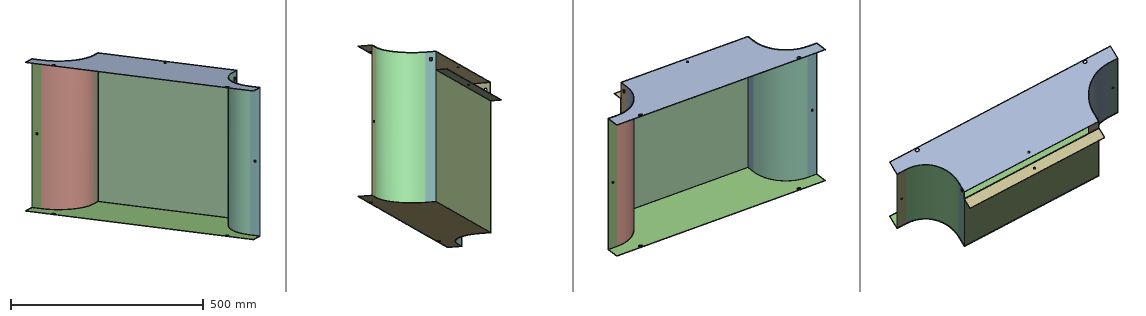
import cadquery as cq

length = 658.0
depth = 198.0
height = 401.0
sheet = 1.0

lip_depth = 39.5
bend_radius = 100.0
front_flange = 28.0
back_straight = 29.0
half_back = length / 2 - front_flange - bend_radius
back_y = lip_depth + bend_radius + back_straight

panel_drop = 49.5
panel_top = height - panel_drop

small_hole = 5.0
slot_width = 7.0
slot_length = 10.0
edge_to_hole = 14.5
rear_hole_inset = 15.0
wall_slot_drop = 20.5
plate_slot_x = 250.0
plate_slot_y = 6.25


def outline(inset):
    """Closed tray outline, with the walls and back moved inward by inset."""
    radius = bend_radius + inset
    diagonal = radius * 0.5 ** 0.5
    center_x = length / 2 - front_flange
    center_y = lip_depth + bend_radius
    return (
        cq.Workplane("XY")
        .moveTo(-length / 2, 0)
        .lineTo(length / 2, 0)
        .lineTo(length / 2, center_y - radius)
        .lineTo(center_x, center_y - radius)
        .threePointArc((center_x - diagonal, center_y - diagonal), (center_x - radius, center_y))
        .lineTo(center_x - radius, back_y - inset)
        .lineTo(radius - center_x, back_y - inset)
        .lineTo(radius - center_x, center_y)
        .threePointArc((diagonal - center_x, center_y - diagonal), (-center_x, center_y - radius))
        .lineTo(-length / 2, center_y - radius)
        .close()
    )


def box(size_x, y_start, y_end, z_start, z_end):
    """Block centred on X and spanning the given Y and Z ranges."""
    return (
        cq.Workplane("XY")
        .box(size_x, y_end - y_start, z_end - z_start, centered=(True, False, False))
        .translate((0, y_start, z_start))
    )


def small_drill(plane, start, reach):
    """Round cutter along the plane's normal, from the start point."""
    return cq.Workplane(plane, origin=start).circle(small_hole / 2).extrude(reach)


def slot_cutter(plane, start, reach, angle):
    """Round-ended slot cutter along the plane's normal, turned by angle in the plane."""
    return cq.Workplane(plane, origin=start).slot2D(slot_length, slot_width, angle).extrude(reach)


cavity = outline(sheet).extrude(height - 2 * sheet).translate((0, 0, sheet))
tray = outline(0).extrude(height).cut(cavity)

tray = tray.cut(box(2 * half_back, back_y - sheet, back_y, panel_top, height))

flange = box(2 * half_back, back_y - sheet, depth, panel_top - sheet, panel_top)
tray = tray.union(flange)

for side in (-1, 1):
    flange_hole_x = side * (length / 2 - edge_to_hole)
    tray = tray.cut(small_drill("XZ", (flange_hole_x, depth, height / 2), depth))
    tray = tray.cut(slot_cutter("XY", (side * plate_slot_x, plate_slot_y, 0), height, 0))

for hole_y in (back_y - rear_hole_inset, depth - rear_hole_inset):
    tray = tray.cut(small_drill("XY", (0, hole_y, panel_top - 2 * sheet), height))

wall_slot_start = (-length / 2, back_y - edge_to_hole, height - wall_slot_drop)
tray = tray.cut(slot_cutter("YZ", wall_slot_start, length, 90))

result = tray